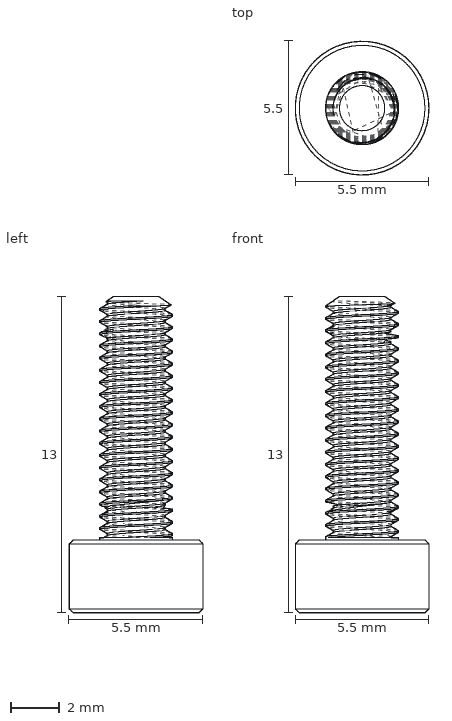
import cadquery as cq
import math

total_height = 13.0
head_diameter = 5.5
head_height = 3.0
head_chamfer = 0.17

shank_pitches = 20
thread_diameter = 3.0
thread_root_diameter = 2.39
thread_half_angle = 30.0
collar_height = 0.09

tip_diameter = 1.86
tip_height = 0.39

head_radius = head_diameter / 2
thread_radius = thread_diameter / 2
root_radius = thread_root_diameter / 2
tip_radius = tip_diameter / 2
thread_pitch = (total_height - head_height) / shank_pitches
crest_width = thread_pitch / 8
collar_top = head_height + collar_height


def make_head():
    """Plain cylindrical head with both rims chamfered."""
    head = cq.Workplane("XY").circle(head_radius).extrude(head_height)
    return head.faces("<Z or >Z").chamfer(head_chamfer)


def make_collar():
    """Unthreaded ring between the head and the first thread."""
    return cq.Workplane("XY").circle(thread_radius).extrude(collar_top)


def make_thread_groove():
    """Right-handed V groove, from one pitch below the collar top to past the tip."""
    start_height = collar_top - thread_pitch
    outer_half_width = (thread_pitch - crest_width / 2) / 2
    crest_half_width = (thread_pitch - crest_width) / 2
    flank_slope = math.tan(math.radians(thread_half_angle))
    outer_radius = thread_radius + (outer_half_width - crest_half_width) / flank_slope
    root_half_width = crest_half_width - (thread_radius - root_radius) * flank_slope
    profile = [
        (root_radius, start_height - root_half_width),
        (outer_radius, start_height - outer_half_width),
        (outer_radius, start_height + outer_half_width),
        (root_radius, start_height + root_half_width),
    ]
    turns = shank_pitches + 1
    helix = cq.Wire.makeHelix(
        thread_pitch,
        turns * thread_pitch,
        root_radius,
        cq.Vector(0, 0, start_height),
    )
    return cq.Workplane("XZ").polyline(profile).close().sweep(cq.Workplane(helix), isFrenet=True)


def make_shank_envelope():
    """Solid of revolution that bounds the thread: flat at the collar, conical at the tip."""
    cone_slope = tip_height / (thread_radius - tip_radius)
    cone_base = total_height - (head_radius - tip_radius) * cone_slope
    outline = [
        (0, collar_top),
        (head_radius, collar_top),
        (head_radius, cone_base),
        (tip_radius, total_height),
        (0, total_height),
    ]
    return cq.Workplane("XZ").polyline(outline).close().revolve(360, (0, 0), (0, 1))


def make_threaded_shank():
    """The groove is cut in an overlong rod, which is then trimmed to the collar and tip."""
    rod = cq.Workplane("XY").circle(thread_radius).extrude(total_height + 2 * thread_pitch)
    return rod.cut(make_thread_groove()).intersect(make_shank_envelope())


result = make_head().union(make_collar()).union(make_threaded_shank())